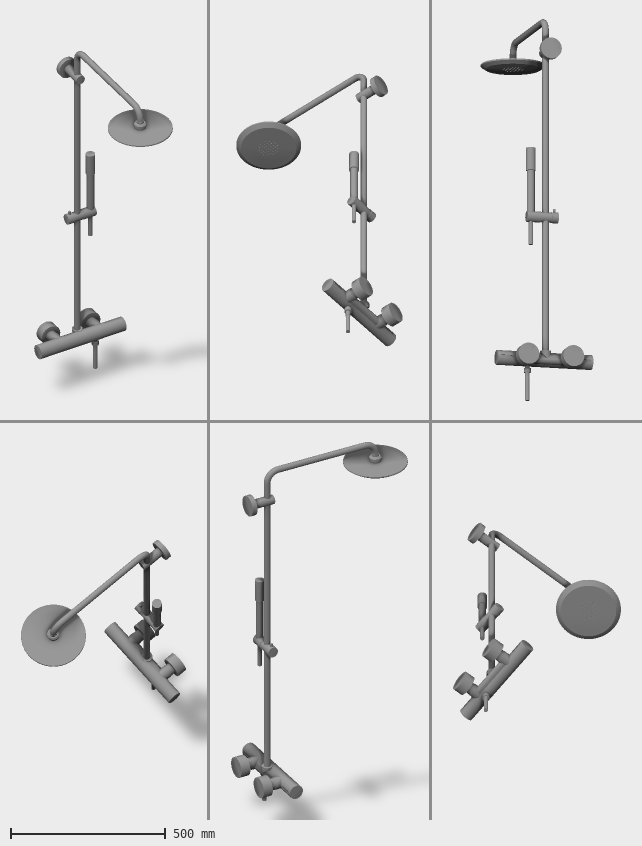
import cadquery as cq
import math


total_height = 1266.0
hose_bottom_z = -137.0
pipe_diameter = 22.0
arm_axis_z = total_height + hose_bottom_z - pipe_diameter / 2
arm_bend_radius = 39.0
riser_x = 72.0
riser_top_z = arm_axis_z - arm_bend_radius
head_x = 472.0

bar_x = 92.0
bar_diameter = 48.0
bar_length = 319.0
bar_knob_length = 58.0
grip_slot_width = 10.0
grip_slot_length = 43.0
grip_slot_depth = 4.0
grip_slot_end_gap = 9.0
inlet_spacing = 151.0
rosette_diameter = 70.0
rosette_length = 33.0
nipple_diameter = 38.0
inlet_diameter = 40.0
inlet_start_x = 51.0
bridge_top_x = 81.0
bridge_top_z = 22.0
bridge_shoulder_x = 65.0
bridge_shoulder_z = 10.0
bridge_nose_x = 57.0
bridge_nose_z = -5.0
bridge_belly_radius = 13.0
connector_diameter = 35.0
connector_top_z = 25.0

lower_hose_y = 56.0
spigot_top_z = -19.0
spigot_diameter = 15.0
nut_diameter = 23.0
nut_top_z = -30.0
nut_height = 14.0
ferrule_bottom_z = -62.0
lower_hose_diameter = 14.0

bracket_z = 1013.0
bracket_diameter = 32.0
bracket_length = 94.0
bracket_rosette_length = 18.0

slider_z = 467.0
slider_diameter = 35.0
slider_left_y = 63.0
slider_waist_diameter = 33.0
slider_waist_left_y = 18.0
lock_knob_left_y = -18.0
lock_knob_right_y = -40.0
pin_diameter = 9.0
pin_y = -29.0
pin_top_height = 28.0

handset_y = 50.0
handset_top_z = 694.0
handset_head_diameter = 32.0
handset_head_length = 75.0
handset_grip_diameter = 25.0
handset_hose_diameter = 14.0
handset_hose_bottom_z = 375.0

plate_diameter = 210.0
plate_top_z = 1052.0
plate_thickness = 15.0
plate_rim_height = 5.0
plate_top_chamfer = 1.0
plate_face_diameter = 180.0
collar_diameter = 24.0
collar_height = 8.0
swivel_top_diameter = 30.0
swivel_diameter = 40.0
swivel_cone_height = 5.0
swivel_band_height = 3.0
swivel_neck_diameter = 38.0
nozzle_diameter = 3.0
nozzle_length = 3.0
nozzle_pitch = 10.0
nozzle_field_radius = 33.0


def cylinder_x(diameter, x_start, x_end, y, z):
    """Cylinder along X between two X positions."""
    return cq.Workplane("YZ", origin=(x_start, y, z)).circle(diameter / 2).extrude(x_end - x_start)


def cylinder_y(diameter, y_start, y_end, x, z):
    """Cylinder along Y between two Y positions."""
    return cq.Workplane("XZ", origin=(x, y_start, z)).circle(diameter / 2).extrude(y_start - y_end)


def cylinder_z(diameter, z_start, z_end, x, y):
    """Cylinder along Z between two Z positions."""
    return cq.Workplane("XY", origin=(x, y, z_start)).circle(diameter / 2).extrude(z_end - z_start)


def make_pipe():
    """Riser that bends into the level arm and down again to the overhead shower."""
    bend_offset = arm_bend_radius * math.sqrt(0.5)
    first_centre_x = riser_x + arm_bend_radius
    second_centre_x = head_x - arm_bend_radius
    path = (
        cq.Workplane("XZ")
        .moveTo(riser_x, connector_top_z)
        .lineTo(riser_x, riser_top_z)
        .threePointArc(
            (first_centre_x - bend_offset, riser_top_z + bend_offset),
            (first_centre_x, arm_axis_z),
        )
        .lineTo(second_centre_x, arm_axis_z)
        .threePointArc(
            (second_centre_x + bend_offset, riser_top_z + bend_offset),
            (head_x, riser_top_z),
        )
    )
    return cq.Workplane("XY", origin=(riser_x, 0, connector_top_z)).circle(pipe_diameter / 2).sweep(path)


def make_head():
    """Overhead shower: revolved plate and swivel, with a field of nozzles below."""
    collar_bottom_z = riser_top_z - collar_height
    cone_bottom_z = collar_bottom_z - swivel_cone_height
    band_bottom_z = cone_bottom_z - swivel_band_height
    plate_bottom_z = plate_top_z - plate_thickness
    plate_radius = plate_diameter / 2
    profile = [
        (0, riser_top_z),
        (collar_diameter / 2, riser_top_z),
        (collar_diameter / 2, collar_bottom_z),
        (swivel_top_diameter / 2, collar_bottom_z),
        (swivel_diameter / 2, cone_bottom_z),
        (swivel_diameter / 2, band_bottom_z),
        (swivel_neck_diameter / 2, band_bottom_z),
        (swivel_neck_diameter / 2, plate_top_z),
        (plate_radius - plate_top_chamfer, plate_top_z),
        (plate_radius, plate_top_z - plate_top_chamfer),
        (plate_radius, plate_top_z - plate_rim_height),
        (plate_face_diameter / 2, plate_bottom_z),
        (0, plate_bottom_z),
    ]
    head = cq.Workplane("XZ", origin=(head_x, 0, 0)).polyline(profile).close().revolve(360, (0, 0, 0), (0, 1, 0))

    steps = int(nozzle_field_radius / nozzle_pitch)
    indices = range(-steps, steps + 1)
    grid = [(i * nozzle_pitch, j * nozzle_pitch) for i in indices for j in indices]
    places = [place for place in grid if math.hypot(*place) <= nozzle_field_radius]
    nozzles = (
        cq.Workplane("XY", origin=(head_x, 0, plate_bottom_z))
        .pushPoints(places)
        .circle(nozzle_diameter / 2)
        .extrude(-nozzle_length)
    )
    return head.union(nozzles)


def make_bracket(pipe):
    """Wall rosette and boss, bored for the pipe."""
    rosette = cylinder_x(rosette_diameter, 0, bracket_rosette_length, 0, bracket_z)
    boss = cylinder_x(bracket_diameter, 0, bracket_length, 0, bracket_z)
    return rosette.union(boss).cut(pipe)


def make_handset():
    """Hand shower with the start of its hose."""
    head_bottom_z = handset_top_z - handset_head_length
    head = cylinder_z(handset_head_diameter, head_bottom_z, handset_top_z, riser_x, handset_y)
    grip = cylinder_z(handset_grip_diameter, slider_z, head_bottom_z, riser_x, handset_y)
    hose = cylinder_z(handset_hose_diameter, handset_hose_bottom_z, slider_z, riser_x, handset_y)
    return head.union(grip).union(hose)


def make_slider(pipe, handset):
    """Holder with a narrower waist, bored for the hand shower and for the pipe."""
    holder = cylinder_y(slider_diameter, slider_left_y, slider_waist_left_y, riser_x, slider_z)
    waist = cylinder_y(slider_waist_diameter, slider_waist_left_y, lock_knob_left_y, riser_x, slider_z)
    return holder.union(waist).cut(pipe).cut(handset)


def make_lock_knob():
    """Knob at the end of the slider, with a small upright pin."""
    knob = cylinder_y(slider_diameter, lock_knob_left_y, lock_knob_right_y, riser_x, slider_z)
    pin = cylinder_z(pin_diameter, slider_z, slider_z + pin_top_height, riser_x, pin_y)
    return knob.union(pin)


def make_lower_hose():
    """Spigot, nut, ferrule and hose in one line under the mixer."""
    nut_bottom_z = nut_top_z - nut_height
    spigot = cylinder_z(spigot_diameter, ferrule_bottom_z, spigot_top_z, bar_x, lower_hose_y)
    nut = cylinder_z(nut_diameter, nut_bottom_z, nut_top_z, bar_x, lower_hose_y)
    hose = cylinder_z(lower_hose_diameter, hose_bottom_z, ferrule_bottom_z, bar_x, lower_hose_y)
    return spigot.union(nut).union(hose)


def make_inlet(y):
    """Wall rosette, nipple and inlet that runs to the bar axis."""
    rosette = cylinder_x(rosette_diameter, 0, rosette_length, y, 0)
    nipple = cylinder_x(nipple_diameter, rosette_length, inlet_start_x, y, 0)
    inlet = cylinder_x(inlet_diameter, inlet_start_x, bar_x, y, 0)
    return rosette.union(nipple).union(inlet)


def make_bridge():
    """Faceted rail with a rounded underside, along the wall side of the bar between the inlets."""
    belly_x = bridge_nose_x + bridge_belly_radius
    belly_z = bridge_nose_z - bridge_belly_radius
    corner_gap = bridge_belly_radius * (1 - math.sqrt(0.5))
    return (
        cq.Workplane("XZ", origin=(0, inlet_spacing / 2, 0))
        .moveTo(bar_x, bridge_top_z)
        .lineTo(bridge_top_x, bridge_top_z)
        .lineTo(bridge_shoulder_x, bridge_shoulder_z)
        .lineTo(bridge_nose_x, bridge_nose_z)
        .threePointArc((bridge_nose_x + corner_gap, belly_z + corner_gap), (belly_x, belly_z))
        .lineTo(bar_x, belly_z)
        .close()
        .extrude(inlet_spacing)
    )


def make_connector():
    """Upright socket under the riser, mitred at 45 degrees to a point level with the bar axis."""
    connector = cylinder_z(connector_diameter, 0, connector_top_z, riser_x, 0)
    wedge = (
        cq.Workplane("YZ", origin=(riser_x - connector_diameter, 0, 0))
        .polyline([(0, 0), (connector_top_z, connector_top_z), (-connector_top_z, connector_top_z)])
        .close()
        .extrude(2 * connector_diameter)
    )
    return connector.intersect(wedge)


def make_mixer(lower_hose):
    """Middle of the bar with both inlets and the bridge that carries the riser."""
    half_body = bar_length / 2 - bar_knob_length
    half_spacing = inlet_spacing / 2
    mixer = cylinder_y(bar_diameter, half_body, -half_body, bar_x, 0)
    mixer = mixer.union(make_bridge()).union(make_connector())
    for side in (1, -1):
        mixer = mixer.union(make_inlet(side * half_spacing))
    return mixer.cut(lower_hose)


def make_bar_knob(side):
    """End knob of the bar, with a round-ended grip slot facing the wall."""
    outer_y = side * bar_length / 2
    inner_y = outer_y - side * bar_knob_length
    knob = cylinder_y(bar_diameter, max(outer_y, inner_y), min(outer_y, inner_y), bar_x, 0)
    slot_y = outer_y - side * (grip_slot_end_gap + grip_slot_length / 2)
    slot_floor_x = bar_x - bar_diameter / 2 + grip_slot_depth
    slot = (
        cq.Workplane("YZ", origin=(slot_floor_x, slot_y, 0))
        .slot2D(grip_slot_length, grip_slot_width)
        .extrude(-bar_diameter)
    )
    return knob.cut(slot)


pipe = make_pipe()
head = make_head()
bracket = make_bracket(pipe)
handset = make_handset()
slider = make_slider(pipe, handset)
lock_knob = make_lock_knob()
lower_hose = make_lower_hose()
mixer = make_mixer(lower_hose)
bar_knobs = [make_bar_knob(side) for side in (1, -1)]

result = cq.Compound.makeCompound([
    pipe.val(),
    head.val(),
    bracket.val(),
    handset.val(),
    slider.val(),
    lock_knob.val(),
    lower_hose.val(),
    mixer.val(),
    *[knob.val() for knob in bar_knobs],
])